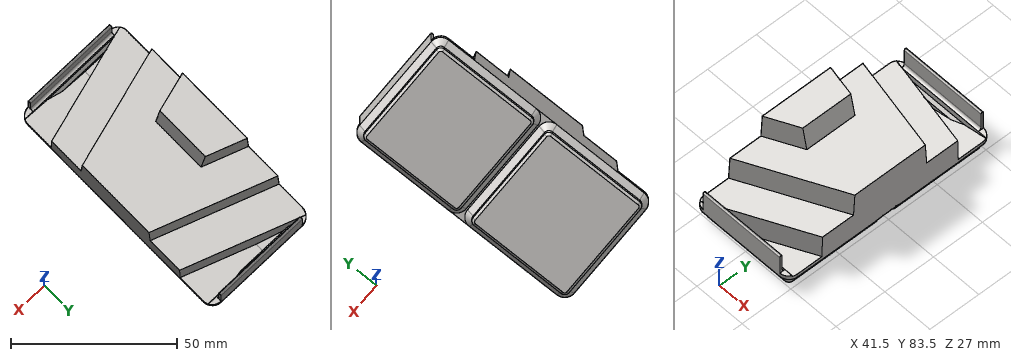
import cadquery as cq
import math

length = 83.5
width = 41.5
corner_radius = 3.75
foot_gap = 0.5
foot_length = (length - foot_gap) / 2

foot_bottom_chamfer = 0.8
foot_top_chamfer = 2.1
foot_flare_top = 4.7
slab_bottom = 4.8
slab_top = 6.3
overall_height = 27.0

tilt = 11.9
step_rise = 8.9
lowest_step_z = slab_top
step_count = 3
lowest_step_half_length = 40.6
lowest_step_undercut = 2.0
step_setback = 13.3
plan_slope = 0.31

panel_thickness = 1.0
panel_edge_radius = 0.46
panel_top = 14.0
panel_width = width - 2 * corner_radius
panel_root_radius = 1.1

pocket_floor_z = 0.9
pocket_lower_half_length = 38.6
pocket_upper_half_length = length / 2 - panel_thickness - panel_root_radius
pocket_slope_start_z = 2.9
pocket_slope_size = pocket_upper_half_length - pocket_lower_half_length

reach = 83.5
left_x = -width / 2


def step_plane(step):
    """Tilted plane of a step, with its origin on the -X side and local x running uphill."""
    angle = math.radians(tilt)
    return cq.Plane(
        origin=(left_x, 0, lowest_step_z + step * step_rise),
        xDir=(math.cos(angle), 0, math.sin(angle)),
        normal=(-math.sin(angle), 0, math.cos(angle)),
    )


def tapered_step(step, end, undercut=0):
    """Wedge-shaped step, square to its own tilted plane and running deep below it."""
    half_length = lowest_step_half_length - step * step_setback
    slope = plan_slope * math.cos(math.radians(tilt))
    start = -reach / 2
    start_half = half_length - slope * start
    end_half = half_length - slope * end
    outline = [(start, -start_half), (end, -end_half), (end, end_half), (start, start_half)]
    return cq.Workplane(step_plane(step)).polyline(outline).close().extrude(-reach, taper=undercut)


def make_steps():
    """All steps; the top one stops where it reaches the overall height."""
    top_step = step_count - 1
    top_step_left_z = lowest_step_z + top_step * step_rise
    top_step_end = (overall_height - top_step_left_z) / math.sin(math.radians(tilt))
    steps = tapered_step(top_step, top_step_end)
    for step in range(1, top_step):
        steps = steps.union(tapered_step(step, reach))
    steps = steps.union(tapered_step(0, reach, lowest_step_undercut))
    return steps


def rounded_block(block_width, block_length, radius, bottom, top):
    """Upright block with rounded vertical edges."""
    block = cq.Workplane("XY").workplane(offset=bottom).rect(block_width, block_length)
    return block.extrude(top - bottom).edges("|Z").fillet(radius)


def full_block(bottom, top):
    """Upright block with the full rounded plan of the part."""
    return rounded_block(width, length, corner_radius, bottom, top)


def foot(center_y):
    """Foot that widens upward: small chamfer, straight band, large chamfer, thin rim."""
    inset = foot_top_chamfer
    band_top = foot_flare_top - foot_top_chamfer
    band = rounded_block(width - 2 * inset, foot_length - 2 * inset, corner_radius - inset, 0, band_top)
    band = band.faces("<Z").chamfer(foot_bottom_chamfer)
    flare = rounded_block(width, foot_length, corner_radius, band_top, slab_bottom)
    flare = flare.faces("<Z").chamfer(foot_top_chamfer)
    return band.union(flare).translate((0, center_y, 0))


def panel():
    """Thin upright panel with rounded top edges, on the +Y end."""
    height = panel_top - slab_bottom
    plate = cq.Workplane("XY").box(panel_width, panel_thickness, height)
    plate = plate.faces(">Z").edges("|X").fillet(panel_edge_radius)
    return plate.translate((0, (length - panel_thickness) / 2, slab_bottom + height / 2))


def panel_root():
    """Concave fillet between the +Y panel and the top of the slab."""
    inner_y = length / 2 - panel_thickness
    diagonal = panel_root_radius * (1 - math.sqrt(0.5))
    profile = (
        cq.Workplane("YZ")
        .moveTo(inner_y, slab_top)
        .lineTo(inner_y, slab_top + panel_root_radius)
        .threePointArc(
            (inner_y - diagonal, slab_top + diagonal),
            (inner_y - panel_root_radius, slab_top),
        )
        .close()
    )
    return profile.extrude(panel_width / 2, both=True)


def pocket_space():
    """Space above the pocket floor and the lowest tilted plane, with sloping end walls."""
    slope_end_z = pocket_slope_start_z + pocket_slope_size
    half_profile = [
        (0, pocket_floor_z),
        (pocket_lower_half_length, pocket_floor_z),
        (pocket_lower_half_length, pocket_slope_start_z),
        (pocket_upper_half_length, slope_end_z),
        (pocket_upper_half_length, slab_top),
        (0, slab_top),
    ]
    half = cq.Workplane("YZ").polyline(half_profile).close().extrude(width / 2, both=True)
    space = half.union(half.mirror("XZ"))
    below_ramp = cq.Workplane(step_plane(-1)).rect(2 * reach, 2 * reach).extrude(-reach)
    return space.cut(below_ramp)


steps = make_steps()
pockets = pocket_space().cut(steps)

base = full_block(slab_bottom, slab_top)
foot_center = (foot_gap + foot_length) / 2
for side in (-1, 1):
    base = base.union(foot(side * foot_center))
base = base.cut(pockets)

upper_body = full_block(slab_bottom, overall_height).intersect(steps)
end_panel = panel().union(panel_root())
result = base.union(upper_body).union(end_panel).union(end_panel.mirror("XZ"))